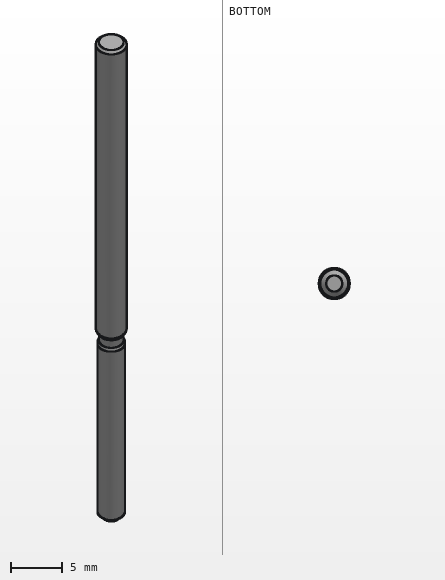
import cadquery as cq

total_length = 60.0

shank_radius = 1.5
shank_top_chamfer = 0.3
shank_bottom = 23.75
shank_taper_height = 0.5

neck_radius = 1.2
neck_bottom = 22.3
stem_diameter = 2.7
stem_radius = stem_diameter / 2
shoulder_height = 0.35
tip_radius = 0.8
tip_height = 0.65

joint_height = shank_bottom - shank_taper_height


def turned_body(profile):
    """Revolve a closed run of (radius, height) points about the Z axis."""
    outline = [(-radius, height) for radius, height in profile]
    return cq.Workplane("YZ").polyline(outline).close().revolve(360, (0, 0), (0, 1))


def make_shank():
    return turned_body([
        (0, joint_height),
        (neck_radius, joint_height),
        (shank_radius, shank_bottom),
        (shank_radius, total_length - shank_top_chamfer),
        (shank_radius - shank_top_chamfer, total_length),
        (0, total_length),
    ])


def make_pin():
    return turned_body([
        (0, 0),
        (tip_radius, 0),
        (stem_radius, tip_height),
        (stem_radius, neck_bottom - shoulder_height),
        (neck_radius, neck_bottom),
        (neck_radius, joint_height),
        (0, joint_height),
    ])


shank = make_shank()
pin = make_pin()

result = cq.Compound.makeCompound([shank.val(), pin.val()])